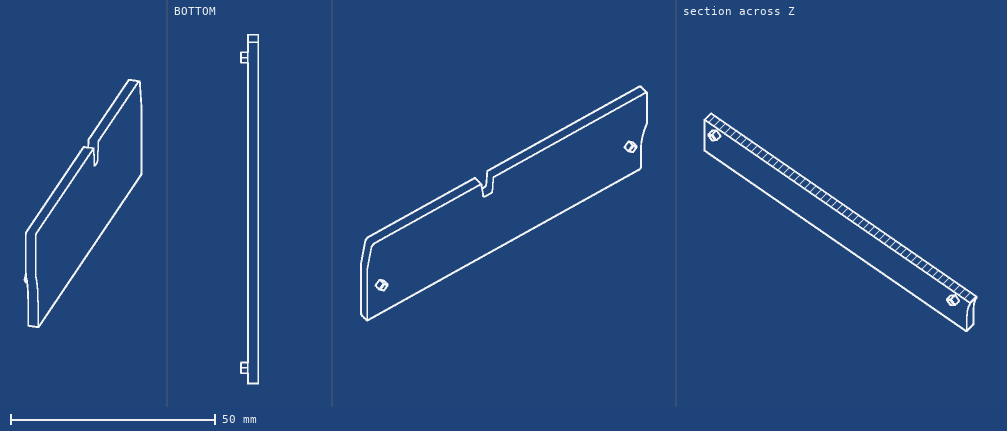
import cadquery as cq
import math

length = 85.35
height = 27.0
thickness = 2.6
corner_radius = 0.5

slope_start_z = 18.6
slope_angle = 10.0
slope_corner_radius = 1.3
slope_run = (height - slope_start_z) * math.tan(math.radians(slope_angle))

step_depth = 1.9
arc_start_z = 7.2
arc_end_z = 15.5
arc_height = arc_end_z - arc_start_z
arc_radius = (arc_height**2 + step_depth**2) / (2 * step_depth)
arc_mid_angle = math.asin(arc_height / arc_radius) / 2
arc_mid_y = step_depth - arc_radius * (1 - math.cos(arc_mid_angle))
arc_mid_z = arc_start_z + arc_radius * math.sin(arc_mid_angle)
step_blend_radius = 0.7

notch_depth = 5.4
notch_top_low_y = 46.85
notch_top_high_y = 50.5
notch_floor_low_y = 47.2
notch_floor_high_y = 49.85
notch_floor_z = height - notch_depth
notch_radius = 0.6
notch_lip_radius = 0.25

pin_length = 1.8
pin_diagonal = 2.65
pin_chamfer = 0.2
pin_z = 11.3
pin_low_y = 5.6
pin_high_y = 81.5


def round_corner(body, y, z, radius):
    """Round the edge that crosses the plate thickness at (y, z)."""
    nearest = cq.selectors.NearestToPointSelector((thickness / 2, y, z))
    return body.edges("|X").edges(nearest).fillet(radius)


def make_plate():
    plate = (
        cq.Workplane("YZ")
        .moveTo(step_depth, 0)
        .lineTo(length, 0)
        .lineTo(length, slope_start_z)
        .lineTo(length - slope_run, height)
        .lineTo(0, height)
        .lineTo(0, arc_end_z)
        .threePointArc((arc_mid_y, arc_mid_z), (step_depth, arc_start_z))
        .close()
        .extrude(thickness)
    )
    plate = round_corner(plate, length - slope_run, height, slope_corner_radius)
    plate = round_corner(plate, 0, height, corner_radius)
    plate = round_corner(plate, step_depth, 0, corner_radius)
    return round_corner(plate, 0, arc_end_z, step_blend_radius)


def cut_notch(plate):
    notch = (
        cq.Workplane("YZ")
        .polyline([
            (notch_top_low_y, height),
            (notch_floor_low_y, notch_floor_z),
            (notch_floor_high_y, notch_floor_z),
            (notch_top_high_y, height),
        ])
        .close()
        .extrude(thickness)
    )
    notch = round_corner(notch, notch_floor_low_y, notch_floor_z, notch_radius)
    notch = round_corner(notch, notch_floor_high_y, notch_floor_z, notch_radius)
    plate = plate.cut(notch)
    plate = round_corner(plate, notch_top_low_y, height, notch_lip_radius)
    return round_corner(plate, notch_top_high_y, height, notch_lip_radius)


def make_pin(y):
    return (
        cq.Workplane("YZ")
        .center(y, pin_z)
        .polygon(4, pin_diagonal)
        .extrude(-pin_length)
        .faces("<X")
        .chamfer(pin_chamfer)
    )


result = cut_notch(make_plate())
for pin_y in (pin_low_y, pin_high_y):
    result = result.union(make_pin(pin_y))